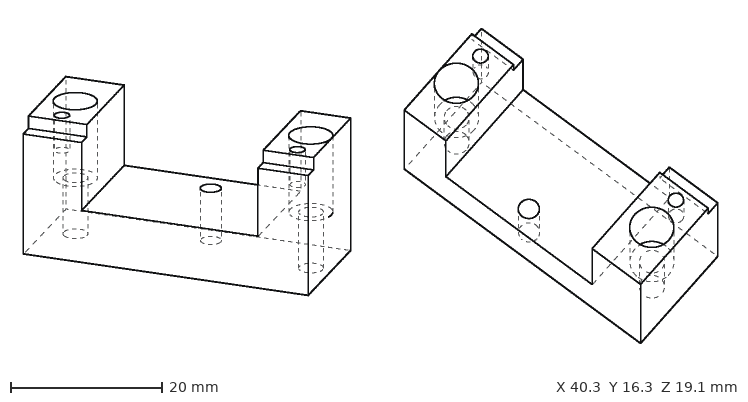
import cadquery as cq

length = 40.26
depth = 16.26
height = 19.05

left_tower_width = 8.26
right_tower_width = 7.11
base_height = 7.49

step_depth = 2.03
step_height = 1.78

screw_hole_diameter = 3.3
counterbore_diameter = 5.84
counterbore_depth = 11.0
left_screw_x = 4.06
screw_pitch = 33.27
screw_y = 8.89

pin_hole_diameter = 2.03
pin_hole_depth = 5.0
pin_y = 3.81

floor_hole_diameter = 2.79
floor_hole_x = 21.67
floor_hole_y = 13.0

screw_xs = [left_screw_x, left_screw_x + screw_pitch]


def box_at(x, y, z, size_x, size_y, size_z):
    """Box with its lowest corner at (x, y, z)."""
    return cq.Workplane("XY").box(size_x, size_y, size_z, centered=False).translate((x, y, z))


def drill(x, y, top_z, diameter, hole_depth):
    """Cylinder that removes a vertical hole downwards from top_z."""
    plane = cq.Workplane("XY").workplane(offset=top_z).center(x, y)
    return plane.circle(diameter / 2).extrude(-hole_depth)


def make_body():
    """U-shaped block with its front top edge stepped down."""
    block = box_at(0, 0, 0, length, depth, height)
    channel_width = length - left_tower_width - right_tower_width
    channel = box_at(left_tower_width, 0, base_height, channel_width, depth, height - base_height)
    step = box_at(0, 0, height - step_height, length, step_depth, step_height)
    return block.cut(channel).cut(step)


def cut_tower_holes(body):
    """Counterbored screw hole and blind pin hole in each tower."""
    for x in screw_xs:
        body = body.cut(drill(x, screw_y, height, screw_hole_diameter, height))
        body = body.cut(drill(x, screw_y, height, counterbore_diameter, counterbore_depth))
        body = body.cut(drill(x, pin_y, height, pin_hole_diameter, pin_hole_depth))
    return body


def cut_floor_hole(body):
    """Through hole near the back of the channel floor."""
    return body.cut(drill(floor_hole_x, floor_hole_y, base_height, floor_hole_diameter, base_height))


result = cut_floor_hole(cut_tower_holes(make_body()))